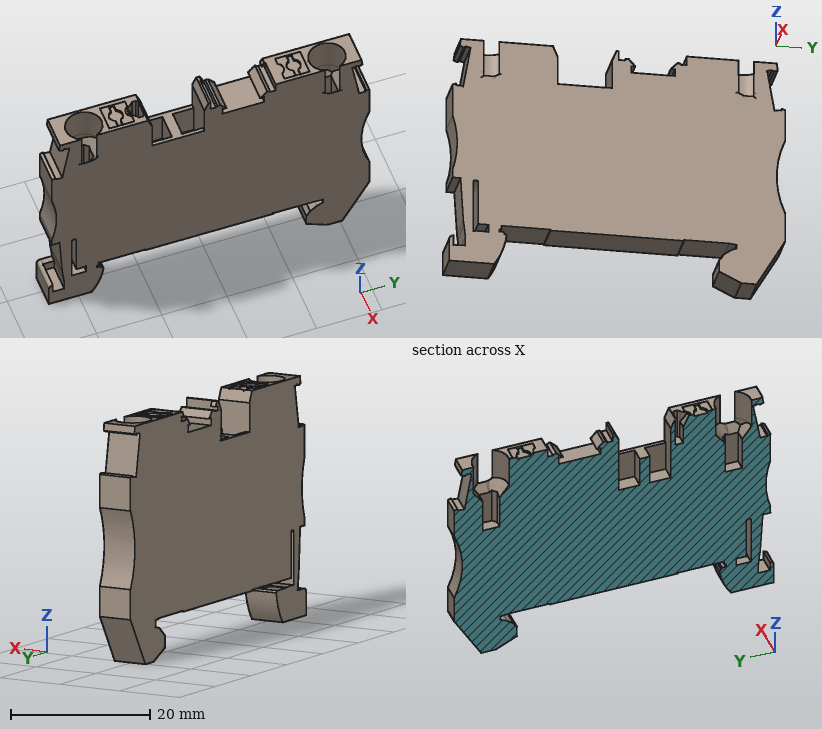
import cadquery as cq

THICKNESS = 5.15
HEIGHT = 35.25
HALF_THICKNESS = THICKNESS / 2

MID_Y = 0.25
BODY_HALF_LENGTH = 24.3
FOOT_END_Y = -24.55

UNDERSIDE_Z = 6.15
VALLEY_FLOOR_Z = 29.3
LABEL_FLOOR_Z = 32.0
CATCH_UNDERSIDE_Z = 34.5
GRIP_TOP_Z = 23.1

VALLEY_START_Y = -0.75
VALLEY_END_Y = -8.7
SEAT_WALL_START_Y = 10.15
SEAT_WALL_END_Y = 0.25

CATCH_WIDTH = 0.85
CATCH_REACH = 0.55
CATCH_TOP_REACH = 0.15

PAD_HALF_LENGTH = 9.75
PAD_DROP = 0.15
ARM_SLOT_Y = -20.65
ARM_SLOT_WIDTH = 0.7
ARM_SLOT_TOP_Z = 13.05
FOOT_REST_Z = 5.0
FOOT_STEP_Z = 4.9
FOOT_TOP_Z = 4.05
FOOT_FILLET = 0.65
ARM_FOOT_Y = -22.2
FOOT_WALL_WIDTH = 1.0
FOOT_GROOVE_END_Y = FOOT_END_Y + FOOT_FILLET
FOOT_GROOVE_DEPTH = 1.45
FOOT_WEB_INNER_Y = -18.8
FOOT_WEB_OUTER_Y = -16.9

RAIL_HOOK_CORNER = (17.45, 4.95)
RAIL_HOOK_LEDGE = (16.55, 4.75)
RAIL_HOOK_TIP = (14.9, 3.35)

WIRE_OFFSET = 18.6
WELL_X = 0.3
WELL_HALF_X = 2.5
WELL_HALF_Y = 2.725
WELL_DEPTH = 4.9
FUNNEL_DEPTH = 1.95
PASSAGE_DEPTH = 12.28
PASSAGE_X = 0.05
PASSAGE_WIDTH = 3.05
PASSAGE_LENGTH = 2.55
PASSAGE_CHAMFER = 0.6
TROUGH_ROUND = 1.1
TROUGH_FLARE_ANGLE = 37.0

BUTTON_X = 0.05
BUTTON_WIDTH = 3.95
BUTTON_LENGTH = 3.85
BUTTON_OFFSET = 13.4
BUTTON_RECESS = 0.05
SYMBOL_RECESS = 0.4
SYMBOL_OFFSET = 13.6
SYMBOL_RADIUS = 1.05
SYMBOL_PITCH = 2.55
SYMBOL_BAR = 0.75

POCKET_X = 0.05
POCKET_WIDTH = 3.95
POCKET_LENGTH = 3.2
POCKET_DEPTH = 4.9

PROBE_X = 0.05
PROBE_WIDTH = 3.05
PROBE_START_Y = -9.5
PROBE_END_Y = -10.6
PROBE_DEPTH = 4.9
PROBE_CORNER = 0.3
PROBE_RAMP_WIDTH = 2.45
PROBE_RAMP_LENGTH = 0.9
PROBE_RAMP_TOP_WIDTH = 1.0
PROBE_RAMP_DEPTH = 1.95


def slab(outline, x_start, x_end):
    """Extrude a closed YZ outline between two X positions."""
    return outline.close().extrude(x_end - x_start).translate((x_start, 0, 0))


def box_between(x_range, y_range, z_range):
    """Box given by its limits along each axis."""
    limits = (x_range, y_range, z_range)
    sizes = [high - low for low, high in limits]
    corner = tuple(low for low, _ in limits)
    return cq.Workplane("XY").box(*sizes, centered=False).translate(corner)


def end_points(side):
    """Lip, neck and shelf of one end, from the top downwards; side is +1 or -1 along Y."""
    distances = [
        (23.1, HEIGHT),
        (23.2, 34.15),
        (22.7, 33.95),
        (22.35, 34.1),
        (21.65, 34.0),
        (22.75, 27.8),
        (23.7, 27.9),
        (23.8, 28.15),
        (BODY_HALF_LENGTH, 27.95),
        (BODY_HALF_LENGTH, GRIP_TOP_Z),
    ]
    return [(MID_Y + side * distance, z) for distance, z in distances]


def make_body():
    """Full-thickness side profile, including the rail hook and the sprung foot."""
    front_end = end_points(-1)
    back_end = end_points(1)
    front_y = MID_Y - BODY_HALF_LENGTH
    back_y = MID_Y + BODY_HALF_LENGTH
    outline = cq.Workplane("YZ").polyline([
        (SEAT_WALL_START_Y, HEIGHT),
        (SEAT_WALL_START_Y, 33.9),
        (9.4, 33.9),
        (8.9, 34.15),
        (7.8, 33.05),
        (8.45, 33.05),
        (8.45, LABEL_FLOOR_Z),
        (2.05, LABEL_FLOOR_Z),
        (2.05, 33.05),
        (2.65, 33.05),
        (1.65, 34.1),
        (1.3, 34.1),
        (1.05, 33.9),
        (SEAT_WALL_END_Y, 33.9),
        (SEAT_WALL_END_Y, HEIGHT),
        (-0.1, HEIGHT),
        (VALLEY_START_Y, 33.85),
        (VALLEY_START_Y, VALLEY_FLOOR_Z),
        (VALLEY_END_Y, VALLEY_FLOOR_Z),
        (VALLEY_END_Y, 33.6),
        (-9.4, HEIGHT),
    ] + front_end)
    outline = outline.threePointArc((-23.35, 18.75), (front_y, 14.45))
    for point in [
        (front_y, 13.2),
        (-22.9, 13.2),
        (-22.5, 6.6),
        (-22.4, 5.85),
        (ARM_FOOT_Y, FOOT_TOP_Z),
        (FOOT_END_Y + FOOT_FILLET, FOOT_TOP_Z),
    ]:
        outline = outline.lineTo(*point)
    outline = outline.tangentArcPoint((FOOT_END_Y, FOOT_TOP_Z - FOOT_FILLET), relative=False)
    outline = outline.lineTo(FOOT_END_Y, 0).lineTo(-17.95, 0)
    outline = outline.threePointArc((-16.75, 2.25), (-16.15, 4.6))
    slot_outer_y = ARM_SLOT_Y - ARM_SLOT_WIDTH / 2
    slot_inner_y = ARM_SLOT_Y + ARM_SLOT_WIDTH / 2
    slot_arc_z = ARM_SLOT_TOP_Z - ARM_SLOT_WIDTH / 2
    for point in [
        (-16.4, FOOT_STEP_Z),
        (FOOT_WEB_INNER_Y, FOOT_STEP_Z),
        (FOOT_WEB_INNER_Y, FOOT_REST_Z),
        (slot_outer_y, FOOT_REST_Z),
        (slot_outer_y, slot_arc_z),
    ]:
        outline = outline.lineTo(*point)
    outline = outline.threePointArc((ARM_SLOT_Y, ARM_SLOT_TOP_Z), (slot_inner_y, slot_arc_z))
    for point in [
        (slot_inner_y, UNDERSIDE_Z),
        (-PAD_HALF_LENGTH, UNDERSIDE_Z),
        (-PAD_HALF_LENGTH, UNDERSIDE_Z - PAD_DROP),
        (PAD_HALF_LENGTH, UNDERSIDE_Z - PAD_DROP),
        (PAD_HALF_LENGTH, UNDERSIDE_Z),
        (16.3, UNDERSIDE_Z),
        (RAIL_HOOK_CORNER[0], UNDERSIDE_Z - PAD_DROP),
        RAIL_HOOK_CORNER,
        RAIL_HOOK_LEDGE,
        RAIL_HOOK_TIP,
        (RAIL_HOOK_TIP[0], 1.55),
        (18.1, 0),
        (20.4, 0),
        (back_y, 7.15),
        (back_y, 11.6),
    ]:
        outline = outline.lineTo(*point)
    outline = outline.threePointArc((23.3, 17.3), back_end[-1])
    for point in reversed(back_end[:-1]):
        outline = outline.lineTo(*point)
    return slab(outline, -HALF_THICKNESS, HALF_THICKNESS)


def label_catch(wall_y, direction):
    """Small catch on the -X edge, overhanging the label seat from one wall."""
    outline = cq.Workplane("YZ").polyline([
        (wall_y, HEIGHT),
        (wall_y + direction * CATCH_TOP_REACH, HEIGHT),
        (wall_y + direction * CATCH_REACH, CATCH_UNDERSIDE_Z),
        (wall_y, CATCH_UNDERSIDE_Z),
    ])
    return slab(outline, -HALF_THICKNESS, CATCH_WIDTH - HALF_THICKNESS)


def foot_web():
    """Notched web on the +X half, joining the underside to the foot."""
    outline = cq.Workplane("YZ").polyline([
        (FOOT_WEB_INNER_Y, UNDERSIDE_Z),
        (FOOT_WEB_INNER_Y, FOOT_STEP_Z),
        (-16.45, FOOT_STEP_Z),
        (-16.6, 5.15),
        (-17.2, 5.25),
        (-17.2, 5.5),
        (FOOT_WEB_OUTER_Y, 5.7),
        (FOOT_WEB_OUTER_Y, UNDERSIDE_Z),
    ])
    return slab(outline, 0, HALF_THICKNESS)


def rail_hook_wedge():
    """Sloping fill on the +X half of the fixed rail hook."""
    outline = cq.Workplane("YZ").polyline([
        (RAIL_HOOK_CORNER[0], 5.45),
        (16.5, 5.0),
        (15.45, 4.2),
        RAIL_HOOK_TIP,
        RAIL_HOOK_LEDGE,
        RAIL_HOOK_CORNER,
    ])
    return slab(outline, 0, HALF_THICKNESS)


def wire_entry(side):
    """Elliptical well, funnel and D-shaped passage; side is +1 or -1 along Y."""
    center_y = MID_Y + side * WIRE_OFFSET
    funnel_floor_z = HEIGHT - WELL_DEPTH - FUNNEL_DEPTH
    passage_end_y = center_y + side * PASSAGE_LENGTH / 2
    rim_end_y = center_y + side * WELL_HALF_Y

    def elliptical_column(floor_z, height):
        plane = cq.Workplane("XY", origin=(WELL_X, center_y, floor_z))
        return plane.ellipse(WELL_HALF_X, WELL_HALF_Y).extrude(height)

    well = elliptical_column(HEIGHT - WELL_DEPTH, WELL_DEPTH)
    round_y = passage_end_y - side * (PASSAGE_LENGTH - TROUGH_ROUND)
    trough = (
        cq.Workplane("XY", origin=(PASSAGE_X, 0, funnel_floor_z))
        .moveTo(-PASSAGE_WIDTH / 2, rim_end_y)
        .lineTo(-PASSAGE_WIDTH / 2, round_y)
        .threePointArc((0, round_y - side * TROUGH_ROUND), (PASSAGE_WIDTH / 2, round_y))
        .lineTo(PASSAGE_WIDTH / 2, rim_end_y)
        .close()
        .extrude(FUNNEL_DEPTH, taper=-TROUGH_FLARE_ANGLE)
    )
    above_ramp = slab(
        cq.Workplane("YZ").polyline([
            (passage_end_y, funnel_floor_z),
            (rim_end_y, HEIGHT - WELL_DEPTH),
            (center_y - side * WELL_HALF_Y, HEIGHT - WELL_DEPTH),
            (center_y - side * WELL_HALF_Y, funnel_floor_z),
        ]),
        -HALF_THICKNESS,
        THICKNESS,
    )
    column = elliptical_column(funnel_floor_z, FUNNEL_DEPTH)
    funnel = column.intersect(trough).intersect(above_ramp)
    passage = (
        cq.Workplane("XY", origin=(PASSAGE_X, center_y, HEIGHT - PASSAGE_DEPTH))
        .rect(PASSAGE_WIDTH, PASSAGE_LENGTH)
        .extrude(PASSAGE_DEPTH)
        .faces("<Y" if side > 0 else ">Y")
        .edges("|Z")
        .chamfer(PASSAGE_CHAMFER)
    )
    return well.union(funnel).union(passage)


def button_recess(side):
    """Shallow square panel with a deeper screw-head recess; side is +1 or -1 along Y."""
    symbol_y = MID_Y + side * SYMBOL_OFFSET
    boss_y = symbol_y - side * SYMBOL_PITCH

    def recess_plane(y, depth):
        return cq.Workplane("XY", origin=(BUTTON_X, y, HEIGHT - depth))

    panel_plane = recess_plane(MID_Y + side * BUTTON_OFFSET, BUTTON_RECESS)
    panel = panel_plane.rect(BUTTON_WIDTH, BUTTON_LENGTH).extrude(BUTTON_RECESS)
    boss = recess_plane(boss_y, BUTTON_RECESS).circle(SYMBOL_RADIUS).extrude(BUTTON_RECESS)
    symbol_plane = recess_plane(symbol_y, SYMBOL_RECESS)
    head = symbol_plane.circle(SYMBOL_RADIUS).extrude(SYMBOL_RECESS)
    bar = symbol_plane.rect(BUTTON_WIDTH, SYMBOL_BAR).extrude(SYMBOL_RECESS)
    return panel.cut(boss).union(head).union(bar)


def foot_groove():
    """Groove between the arm and the rounded bead at the end of the foot, open on +X."""
    return box_between(
        (FOOT_WALL_WIDTH - HALF_THICKNESS, HALF_THICKNESS),
        (FOOT_GROOVE_END_Y, ARM_FOOT_Y),
        (FOOT_TOP_Z - FOOT_GROOVE_DEPTH, FOOT_TOP_Z),
    )


def valley_pocket(start_y):
    """Rectangular pocket sunk into the valley floor, running from start_y towards -Y."""
    half_width = POCKET_WIDTH / 2
    return box_between(
        (POCKET_X - half_width, POCKET_X + half_width),
        (start_y - POCKET_LENGTH, start_y),
        (VALLEY_FLOOR_Z - POCKET_DEPTH, VALLEY_FLOOR_Z),
    )


def probe_opening():
    """Upright slot with a narrowing ramp that leads into it from the -Y side."""
    half_width = PROBE_WIDTH / 2
    slot = box_between(
        (PROBE_X - half_width, PROBE_X + half_width),
        (PROBE_END_Y, PROBE_START_Y),
        (HEIGHT - PROBE_DEPTH, HEIGHT),
    ).edges("|Z").chamfer(PROBE_CORNER)
    ramp_end_y = PROBE_END_Y - PROBE_RAMP_LENGTH
    mouth = (
        cq.Workplane("XY", origin=(PROBE_X, 0, HEIGHT - PROBE_RAMP_DEPTH))
        .polyline([
            (-PROBE_RAMP_WIDTH / 2, PROBE_END_Y),
            (PROBE_RAMP_WIDTH / 2, PROBE_END_Y),
            (PROBE_RAMP_TOP_WIDTH / 2, ramp_end_y),
            (-PROBE_RAMP_TOP_WIDTH / 2, ramp_end_y),
        ])
        .close()
        .extrude(PROBE_RAMP_DEPTH)
    )
    slope = slab(
        cq.Workplane("YZ").polyline([
            (PROBE_END_Y, HEIGHT),
            (PROBE_END_Y, HEIGHT - PROBE_RAMP_DEPTH),
            (ramp_end_y, HEIGHT),
        ]),
        -HALF_THICKNESS,
        HALF_THICKNESS,
    )
    return slot.union(mouth.intersect(slope))


result = make_body()
result = result.union(label_catch(SEAT_WALL_START_Y, -1))
result = result.union(label_catch(SEAT_WALL_END_Y, 1))
result = result.union(foot_web())
result = result.union(rail_hook_wedge())

for end_side in (1, -1):
    result = result.cut(wire_entry(end_side))
    result = result.cut(button_recess(end_side))

for pocket_start_y in (VALLEY_START_Y, VALLEY_END_Y + POCKET_LENGTH):
    result = result.cut(valley_pocket(pocket_start_y))

result = result.cut(probe_opening())
result = result.cut(foot_groove())